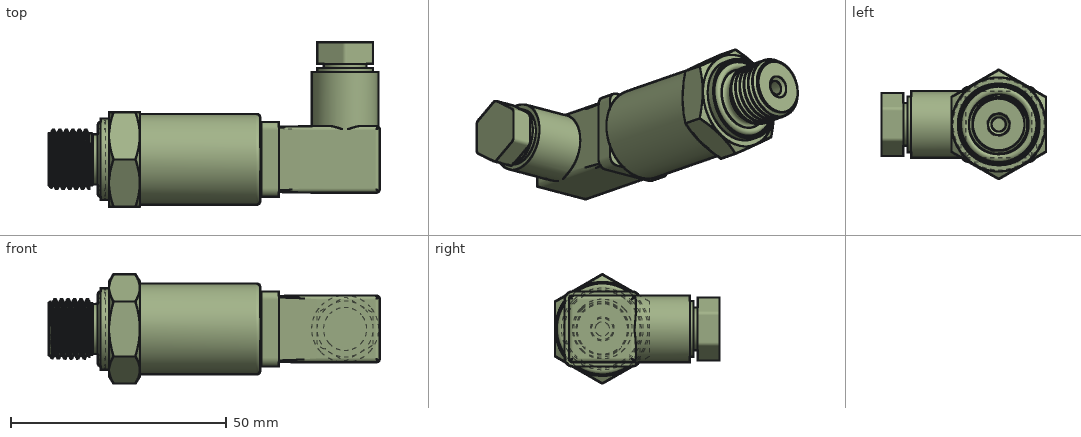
import cadquery as cq
import math


thread_diameter = 13.85
thread_root_diameter = 12.15
thread_turns = 5
thread_turns_length = 7.5
thread_pitch = thread_turns_length / thread_turns
thread_end = 9.45
thread_root_end = 9.9
thread_start = -0.8
thread_crest_width = 0.2
thread_root_width = 1.4
thread_overlap = 0.2
tip_radius = 6.0
tip_chamfer_reach = 1.15
neck_start = 10.3
neck_radius = 5.85
neck_fillet = 1.1
flange_face = 12.1
flange_radius = 19.0 / 2
hexagon_start = 14.0
hexagon_end = 21.2
hexagon_flats = 22.0
hexagon_chamfer_length = 1.1
hexagon_end_radius = 10.9
bore_diameter = 3.3
bore_depth = 7.7
bore_mouth_diameter = 5.0
bore_chamfer_length = (bore_mouth_diameter - bore_diameter) / 2

seal_section_radius = 0.9
seal_tip = 11.4
groove_inner_radius = neck_radius + neck_fillet
groove_outer_radius = 9.1
seal_middle_radius = groove_inner_radius + seal_section_radius
groove_bottom = seal_tip + 2 * seal_section_radius

sleeve_diameter = 21.15
sleeve_end = 49.1
sleeve_edge_radius = 0.9

base_start = 49.4
boss_diameter = 5.5
base_side = 17.45
base_corner_radius = 1.9
base_end = 53.45

plug_end = 76.9
plug_side = 15.5
plug_edge_radius = 1.0
draft_angle = 1.0
side_draft_end = 62.35
top_draft_end = 58.35
outlet_x = 68.8
outlet_end = 20.3

gland_flats = 13.0
gland_edge_radius = 1.0
gland_neck_diameter = 10.0
gland_collar_end = 21.2
gland_nut_start = 22.15
gland_end = 27.2


def disc(start, end, radius):
    """Cylinder around the X axis."""
    return cq.Workplane("YZ", origin=(start, 0, 0)).circle(radius).extrude(end - start)


def revolve_around_x(profile):
    """Solid of revolution from a closed profile in the XY plane (X = axial, Y = radius)."""
    return profile.close().revolve(360, (0, 0, 0), (1, 0, 0))


def make_thread_ridge():
    """Right-handed helical ridge, trimmed to the threaded length and chamfered at the tip."""
    foot_radius = thread_root_diameter / 2 - thread_overlap
    crest_radius = thread_diameter / 2
    helix = cq.Wire.makeHelix(thread_pitch, thread_end + thread_pitch, foot_radius)
    ridge = (
        cq.Workplane("XZ")
        .moveTo(foot_radius, -thread_root_width / 2)
        .lineTo(crest_radius, -thread_crest_width / 2)
        .lineTo(crest_radius, thread_crest_width / 2)
        .lineTo(foot_radius, thread_root_width / 2)
        .close()
        .sweep(cq.Workplane(obj=helix), isFrenet=True)
        .rotate((0, 0, 0), (0, 1, 0), 90)
        .translate((thread_start, 0, 0))
    )
    ridge = ridge.intersect(disc(0, thread_end, crest_radius + thread_overlap))
    return ridge.cut(make_tip_chamfer())


def make_tip_chamfer():
    """Conical ring of material that is turned off the first thread turn at 45 degrees."""
    inner_radius = tip_radius - tip_chamfer_reach
    outer_radius = tip_radius + tip_chamfer_reach
    return revolve_around_x(
        cq.Workplane("XY")
        .moveTo(-tip_chamfer_reach, outer_radius)
        .lineTo(-tip_chamfer_reach, inner_radius)
        .lineTo(tip_chamfer_reach, outer_radius)
    )


def make_shank():
    """Root cylinder, filleted neck and flange with the sealing groove."""
    root_radius = thread_root_diameter / 2
    return revolve_around_x(
        cq.Workplane("XY")
        .moveTo(0, 0)
        .lineTo(0, tip_radius)
        .lineTo(root_radius - tip_radius, root_radius)
        .lineTo(thread_root_end, root_radius)
        .lineTo(neck_start, neck_radius)
        .lineTo(flange_face - neck_fillet, neck_radius)
        .radiusArc((flange_face, groove_inner_radius), -neck_fillet)
        .lineTo(groove_bottom, groove_inner_radius)
        .lineTo(groove_bottom, groove_outer_radius)
        .lineTo(flange_face, groove_outer_radius)
        .lineTo(flange_face, flange_radius)
        .lineTo(hexagon_start, flange_radius)
        .lineTo(hexagon_start, 0)
    )


def make_hexagon():
    """Hexagon with corners at +Z and -Z, its corners turned conical at both ends."""
    corner_radius = hexagon_flats / math.sqrt(3)
    prism = (
        cq.Workplane("YZ", origin=(hexagon_start, 0, 0))
        .polygon(6, 2 * corner_radius)
        .extrude(hexagon_end - hexagon_start)
        .rotate((0, 0, 0), (1, 0, 0), 90)
    )
    turned = revolve_around_x(
        cq.Workplane("XY")
        .moveTo(hexagon_start, 0)
        .lineTo(hexagon_start, hexagon_end_radius)
        .lineTo(hexagon_start + hexagon_chamfer_length, corner_radius)
        .lineTo(hexagon_end - hexagon_chamfer_length, corner_radius)
        .lineTo(hexagon_end, hexagon_end_radius)
        .lineTo(hexagon_end, 0)
    )
    return prism.intersect(turned)


def make_bore():
    """Blind pressure bore with a conical mouth."""
    return revolve_around_x(
        cq.Workplane("XY")
        .moveTo(0, 0)
        .lineTo(0, bore_mouth_diameter / 2)
        .lineTo(bore_chamfer_length, bore_diameter / 2)
        .lineTo(bore_depth, bore_diameter / 2)
        .lineTo(bore_depth, 0)
    )


def make_fitting():
    return make_shank().union(make_thread_ridge()).union(make_hexagon()).cut(make_bore())


def make_seal():
    """O-ring that rests on the bottom and the inner wall of the groove."""
    ring = cq.Solid.makeTorus(
        seal_middle_radius,
        seal_section_radius,
        cq.Vector(seal_tip + seal_section_radius, 0, 0),
        cq.Vector(1, 0, 0),
    )
    return cq.Workplane(obj=ring)


def make_sleeve():
    return disc(hexagon_end, sleeve_end, sleeve_diameter / 2).edges(">X").fillet(sleeve_edge_radius)


def make_connector_base():
    plate = (
        cq.Workplane("YZ", origin=(base_start, 0, 0))
        .rect(base_side, base_side)
        .extrude(base_end - base_start)
        .edges("|X")
        .fillet(base_corner_radius)
    )
    return plate.union(disc(sleeve_end, base_start, boss_diameter / 2))


def drafted_prism(plane, corner_edges, draft_end):
    """Prism whose sides narrow towards the connector base and whose far corners are rounded."""
    half_side = plug_side / 2
    half_start = half_side - (draft_end - base_end) * math.tan(math.radians(draft_angle))
    return (
        cq.Workplane(plane)
        .moveTo(base_end, -half_start)
        .lineTo(draft_end, -half_side)
        .lineTo(plug_end, -half_side)
        .lineTo(plug_end, half_side)
        .lineTo(draft_end, half_side)
        .lineTo(base_end, half_start)
        .close()
        .extrude(half_side, both=True)
        .faces(">X")
        .edges(corner_edges)
        .fillet(plug_edge_radius)
    )


def make_plug():
    block = (
        cq.Workplane("YZ", origin=(base_end, 0, 0))
        .rect(plug_side, plug_side)
        .extrude(plug_end - base_end)
        .edges("|X")
        .fillet(plug_edge_radius)
        .intersect(drafted_prism("XY", "|Z", side_draft_end))
        .intersect(drafted_prism("XZ", "|Y", top_draft_end))
    )
    outlet = cq.Workplane("XZ", origin=(outlet_x, 0, 0)).circle(plug_side / 2).extrude(-outlet_end)
    return block.union(outlet)


def make_gland():
    """Collar, neck and hexagon head with rounded corners, the head's flats facing -X and +X."""
    collar = (
        cq.Workplane("XZ", origin=(outlet_x, outlet_end, 0))
        .circle(gland_flats / 2)
        .extrude(outlet_end - gland_collar_end)
    )
    neck = (
        cq.Workplane("XZ", origin=(outlet_x, gland_collar_end, 0))
        .circle(gland_neck_diameter / 2)
        .extrude(gland_collar_end - gland_nut_start)
    )
    head = (
        cq.Workplane("XZ", origin=(outlet_x, gland_nut_start, 0))
        .transformed(rotate=(0, 0, 90))
        .polygon(6, 2 * gland_flats / math.sqrt(3))
        .extrude(gland_nut_start - gland_end)
        .edges("|Y")
        .fillet(gland_edge_radius)
    )
    return collar.union(neck).union(head)


fitting = make_fitting()
seal = make_seal()
sleeve = make_sleeve()
connector_base = make_connector_base()
plug = make_plug()
gland = make_gland()

result = cq.Compound.makeCompound(
    [fitting.val(), seal.val(), sleeve.val(), connector_base.val(), plug.val(), gland.val()]
)